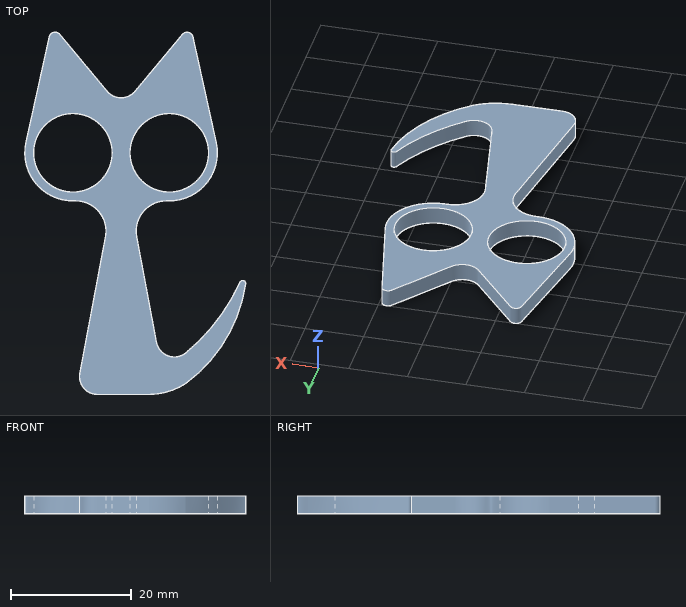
import cadquery as cq
import math

height = 60.05
thickness = 3.0

eye_diameter = 13.0
rim_radius = 8.0
eye_y = 40.05

ear_radius = 1.0
ear_x = 10.9
ear_y = height - ear_radius
valley_radius = 3.0
valley_floor_y = 49.2

neck_half_width = 2.5
neck_radius = 5.0
neck_x = neck_half_width + neck_radius
neck_y = eye_y - math.sqrt((rim_radius + neck_radius) ** 2 - (rim_radius - neck_x) ** 2)

corner_radius = 3.0
corner_x = -3.9
hook_radius = 3.0
hook_x = 8.8
hook_y = 9.25

base_end = (4.7, 0)
tail_root_middle = (7.8, 0.5)
tail_root = (10.7, 1.8)
tail_outer_middle = (16.4, 7.6)
tail_outer_end = (20.65, 18.3)
tail_tip = (20.2, 18.9)
tail_inner_end = (19.65, 18.55)
tail_inner_middle = (15.85, 12.25)
hook_start_angle = math.radians(-53)

coincidence_tolerance = 0.0005


def on_circle(center, radius, angle):
    return (center[0] + radius * math.cos(angle), center[1] + radius * math.sin(angle))


def tangent_angle(first, second):
    """Angle of the right-hand normal of the line touching two signed circles.

    A positive radius turns counterclockwise, a negative one clockwise."""
    (x1, y1), r1 = first
    (x2, y2), r2 = second
    sine = (r1 - r2) / math.hypot(x2 - x1, y2 - y1)
    heading = math.atan2(y2 - y1, x2 - x1) + math.asin(max(-1, min(1, sine)))
    return heading - math.pi / 2


def follow_circles(outline, circles, first_normal, last_normal):
    """Trace the arcs of signed circles joined by their common tangents."""
    normals = [first_normal]
    normals += [tangent_angle(a, b) for a, b in zip(circles, circles[1:])]
    normals.append(last_normal)
    previous_end = None
    for (center, radius), start, end in zip(circles, normals, normals[1:]):
        sweep = math.remainder(end - start, 2 * math.pi)
        arc_start = on_circle(center, radius, start)
        arc_end = on_circle(center, radius, end)
        if previous_end and math.dist(previous_end, arc_start) > coincidence_tolerance:
            outline = outline.lineTo(*arc_start)
        outline = outline.threePointArc(on_circle(center, radius, start + sweep / 2), arc_end)
        previous_end = arc_end
    return outline


def make_plate():
    circles = [
        ((hook_x, hook_y), -hook_radius),
        ((neck_x, neck_y), -neck_radius),
        ((rim_radius, eye_y), rim_radius),
        ((ear_x, ear_y), ear_radius),
        ((0, valley_floor_y + valley_radius), -valley_radius),
        ((-ear_x, ear_y), ear_radius),
        ((-rim_radius, eye_y), rim_radius),
        ((-neck_x, neck_y), -neck_radius),
        ((corner_x, corner_radius), corner_radius),
    ]
    hook_start = on_circle((hook_x, hook_y), hook_radius, hook_start_angle)
    outline = (
        cq.Workplane("XY")
        .moveTo(*base_end)
        .threePointArc(tail_root_middle, tail_root)
        .threePointArc(tail_outer_middle, tail_outer_end)
        .threePointArc(tail_tip, tail_inner_end)
        .threePointArc(tail_inner_middle, hook_start)
    )
    outline = follow_circles(outline, circles, hook_start_angle + math.pi, -math.pi / 2)
    return outline.close().extrude(thickness)


def make_eyes():
    eye_centers = [(-rim_radius, eye_y), (rim_radius, eye_y)]
    return cq.Workplane("XY").pushPoints(eye_centers).circle(eye_diameter / 2).extrude(thickness)


result = make_plate().cut(make_eyes())